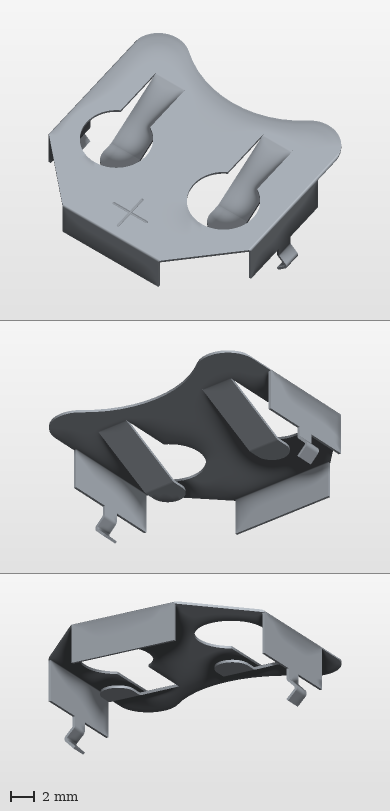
import cadquery as cq
import math


sheet = 0.23
half_width = 10.5
depth = 20.05
height = 6.8
edge_outer_radius = 0.2
edge_inner_radius = 0.1
bend_inner_radius = 0.18
bend_outer_radius = bend_inner_radius + sheet

front_half_width = 4.97
corner_cut = half_width - front_half_width
lobe_radius = 2.65
scoop_bottom_y = 17.24

flap_height = 3.52
wall_rear_y = 14.98
wall_height = 3.9

leg_center_y = 10.3
leg_width = 1.6
leg_reach = 11.3
leg_knee_z = -5.75

tongue_x = 5.55
tongue_width = 3.0
tongue_root_y = 16.0
slot_rear_y = 16.1
tongue_bend_y = 9.65
tongue_end_y = 7.1
tongue_drop = 3.03
slot_gap = 0.02
hole_radius = 3.07
hole_y = 8.38

plus_y = 2.75
plus_length = 3.64
plus_groove_width = 0.25
plus_groove_depth = 0.07
plus_groove_taper = 45


def box(x_range, y_range, z_range):
    """Box spanning the given (low, high) ranges."""
    sizes = [high - low for low, high in (x_range, y_range, z_range)]
    corner = (x_range[0], y_range[0], z_range[0])
    return cq.Workplane("XY").box(*sizes, centered=False).translate(corner)


def both_sides(right_half):
    """A right-hand feature together with its mirror image."""
    return right_half.union(right_half.mirror("YZ"))


def make_plate():
    """Flat top with cut front corners, two rear lobes and a scoop tangent to both."""
    lobe_x = half_width - lobe_radius
    lobe_y = depth - lobe_radius
    rise = lobe_y - scoop_bottom_y
    scoop_radius = (lobe_x**2 + rise**2 - lobe_radius**2) / (2 * (lobe_radius + rise))
    scoop_center_y = scoop_bottom_y + scoop_radius
    share = lobe_radius / (lobe_radius + scoop_radius)
    touch_x = lobe_x * (1 - share)
    touch_y = lobe_y + (scoop_center_y - lobe_y) * share
    return (
        cq.Workplane("XY")
        .moveTo(-front_half_width, 0)
        .lineTo(front_half_width, 0)
        .lineTo(half_width, corner_cut)
        .lineTo(half_width, lobe_y)
        .threePointArc((lobe_x, depth), (touch_x, touch_y))
        .threePointArc((0, scoop_bottom_y), (-touch_x, touch_y))
        .threePointArc((-lobe_x, depth), (-half_width, lobe_y))
        .lineTo(-half_width, corner_cut)
        .close()
        .extrude(-sheet)
    )


def make_flap():
    """Front flap."""
    return box((-front_half_width, front_half_width), (0, sheet), (-flap_height, 0))


def make_wall():
    """Right side wall."""
    return box((half_width - sheet, half_width), (corner_cut, wall_rear_y), (-wall_height, 0))


def round_inner_bends(shell):
    """Fillet the edges where the flap and the walls meet the underside of the plate."""
    wall_middle_y = (corner_cut + wall_rear_y) / 2
    wall_inner = half_width - sheet
    bend_middles = [
        (0, sheet, -sheet),
        (wall_inner, wall_middle_y, -sheet),
        (-wall_inner, wall_middle_y, -sheet),
    ]
    for middle in bend_middles:
        bend_edge = cq.selectors.NearestToPointSelector(middle)
        shell = shell.edges(bend_edge).fillet(edge_inner_radius)
    return shell


def make_bend_envelope():
    """Block with rounded upper edges that rounds the outside of the three bends."""
    bottom = -max(flap_height, wall_height)
    block = box((-half_width, half_width), (0, depth), (bottom, 0))
    return block.faces(">Z").edges("|Y or <Y").fillet(edge_outer_radius)


def round_bend(strip, inner_corner, outer_corner):
    """Round a sharp bend of a strip, given a point on its inner and on its outer crease."""
    strip = strip.edges(cq.selectors.NearestToPointSelector(inner_corner)).fillet(bend_inner_radius)
    return strip.edges(cq.selectors.NearestToPointSelector(outer_corner)).fillet(bend_outer_radius)


def make_leg():
    """Right leg: straight down, 45 degrees out, round the knee and 45 degrees back in."""
    wall_inner = half_width - sheet
    diagonal = math.sqrt(2)
    knee_outer_x = leg_reach + bend_outer_radius * (diagonal - 1)
    knee_inner_x = knee_outer_x - sheet * diagonal
    upper_inner_z = leg_knee_z + knee_outer_x - half_width
    upper_outer_z = leg_knee_z + knee_inner_x - wall_inner
    tip_x = knee_outer_x - (height + leg_knee_z)
    tip_step = sheet / diagonal
    profile = (
        cq.Workplane("XZ")
        .moveTo(wall_inner, -wall_height)
        .lineTo(half_width, -wall_height)
        .lineTo(half_width, upper_inner_z)
        .lineTo(knee_outer_x, leg_knee_z)
        .lineTo(tip_x, -height)
        .lineTo(tip_x - tip_step, tip_step - height)
        .lineTo(knee_inner_x, leg_knee_z)
        .lineTo(wall_inner, upper_outer_z)
        .close()
    )
    leg = profile.extrude(leg_width / 2, both=True)
    leg = round_bend(leg, (half_width, 0, upper_inner_z), (wall_inner, 0, upper_outer_z))
    leg = round_bend(leg, (knee_inner_x, 0, leg_knee_z), (knee_outer_x, 0, leg_knee_z))
    return leg.translate((0, leg_center_y, 0))


def make_opening():
    """Right plate opening: a round hole with a slot running back to the tongue root."""
    half_slot = tongue_width / 2 + slot_gap
    slot = box((tongue_x - half_slot, tongue_x + half_slot), (hole_y, slot_rear_y), (-sheet, 0))
    hole = cq.Workplane("XY").center(tongue_x, hole_y).circle(hole_radius).extrude(-sheet)
    return slot.union(hole)


def make_tongue():
    """Right spring tongue: slopes down from its root to a flat tip with a round end."""
    slope = math.atan2(tongue_drop, tongue_root_y - tongue_bend_y)
    mitre = sheet * math.tan(slope / 2)
    lower_root_y = tongue_root_y + mitre
    lower_bend_y = tongue_bend_y + mitre
    tongue = (
        cq.Workplane("YZ")
        .moveTo(slot_rear_y, 0)
        .lineTo(tongue_root_y, 0)
        .lineTo(tongue_bend_y, -tongue_drop)
        .lineTo(tongue_end_y, -tongue_drop)
        .lineTo(tongue_end_y, -tongue_drop - sheet)
        .lineTo(lower_bend_y, -tongue_drop - sheet)
        .lineTo(lower_root_y, -sheet)
        .lineTo(slot_rear_y, -sheet)
        .close()
        .extrude(tongue_width / 2, both=True)
    )
    tongue = round_bend(tongue, (0, lower_root_y, -sheet), (0, tongue_root_y, 0))
    tip_inner = (0, tongue_bend_y, -tongue_drop)
    tip_outer = (0, lower_bend_y, -tongue_drop - sheet)
    tongue = round_bend(tongue, tip_inner, tip_outer).translate((tongue_x, 0, 0))
    end_radius = tongue_width / 2
    end_center_y = tongue_end_y + end_radius
    plan_depth = tongue_drop + sheet
    round_end = cq.Workplane("XY").center(tongue_x, end_center_y).circle(end_radius).extrude(-plan_depth)
    x_range = (tongue_x - end_radius, tongue_x + end_radius)
    straight = box(x_range, (end_center_y, slot_rear_y), (-plan_depth, 0))
    return tongue.intersect(straight.union(round_end))


def make_plus_mark():
    """Shallow plus-shaped groove with sloping sides and round ends in the top face."""

    def groove(angle):
        outline = cq.Workplane("XY").slot2D(plus_length, plus_groove_width, angle)
        return outline.extrude(-plus_groove_depth, taper=plus_groove_taper)

    return groove(0).union(groove(90)).translate((0, plus_y, 0))


shell = make_plate().union(make_flap()).union(both_sides(make_wall()))
shell = round_inner_bends(shell).intersect(make_bend_envelope())
result = (
    shell
    .cut(both_sides(make_opening()))
    .cut(make_plus_mark())
    .union(both_sides(make_tongue()))
    .union(both_sides(make_leg()))
)